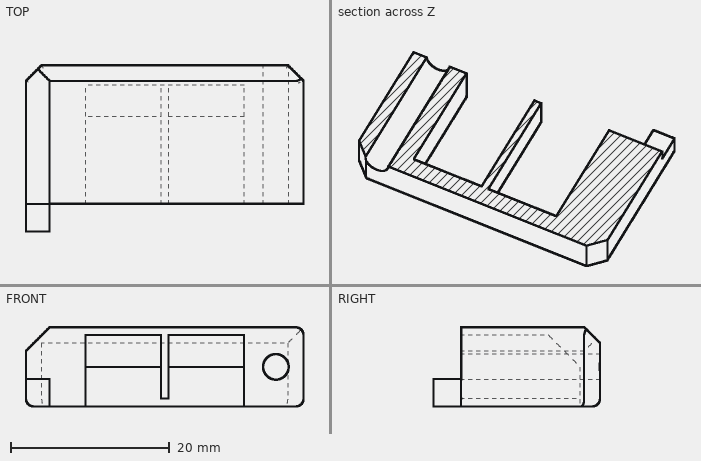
import cadquery as cq

LENGTH = 35.0
DEPTH = 17.5
HEIGHT = 10.0
SLOPE_LEG = 3.0
BACK_CHAMFER = 2.0
EDGE_RADIUS = 1.0

TAB_WIDTH = SLOPE_LEG
TAB_REACH = 3.5
TAB_HEIGHT = 3.5

POCKET_LEFT = 7.5
POCKET_WIDTH = 20.0
ROOF_THICKNESS = 1.0
BACK_WALL = 2.5
POCKET_TOP = HEIGHT - ROOF_THICKNESS
POCKET_BACK = DEPTH - BACK_WALL
POCKET_SLOPE_LEG = 4.0

RIB_THICKNESS = 1.0
RIB_BOTTOM = 1.0
RIB_LEFT = POCKET_LEFT + (POCKET_WIDTH - RIB_THICKNESS) / 2

HOLE_DIAMETER = 3.2
HOLE_FROM_RIGHT = 3.5
HOLE_X = LENGTH - HOLE_FROM_RIGHT
HOLE_Z = HEIGHT / 2


def block(x, y, z, width, depth, height):
    """Box with its lowest corner at (x, y, z)."""
    return cq.Workplane("XY").box(width, depth, height, centered=False).translate((x, y, z))


def make_front_prism():
    """Front outline, with its sloped and rounded top corners, run back in Y."""
    return (
        cq.Workplane("XZ")
        .lineTo(LENGTH, 0)
        .lineTo(LENGTH, HEIGHT - EDGE_RADIUS)
        .radiusArc((LENGTH - EDGE_RADIUS, HEIGHT), -EDGE_RADIUS)
        .lineTo(SLOPE_LEG, HEIGHT)
        .lineTo(0, HEIGHT - SLOPE_LEG)
        .close()
        .extrude(-DEPTH)
    )


def make_plan_prism():
    """Plan outline with both back corners chamfered."""
    return block(0, 0, 0, LENGTH, DEPTH, HEIGHT).edges("|Z and >Y").chamfer(BACK_CHAMFER)


def make_side_prism():
    """Side outline with the upper back corner chamfered."""
    return block(0, 0, 0, LENGTH, DEPTH, HEIGHT).edges(">Y and >Z").chamfer(BACK_CHAMFER)


def make_outer_shape():
    """Body and tab, with the lower edge rounded on the left, back and right."""
    body = make_front_prism().intersect(make_plan_prism()).intersect(make_side_prism())
    tab = block(0, -TAB_REACH, 0, TAB_WIDTH, TAB_REACH, TAB_HEIGHT)
    shape = body.union(tab)
    rounded_edges = shape.faces("<Z").edges().filter(lambda edge: edge.Center().y > EDGE_RADIUS)
    return rounded_edges.fillet(EDGE_RADIUS)


def make_pocket():
    """Pocket volume with a sloped upper back corner and the rib left out."""
    pocket = block(POCKET_LEFT, 0, 0, POCKET_WIDTH, POCKET_BACK, POCKET_TOP)
    pocket = pocket.edges(">Y and >Z").chamfer(POCKET_SLOPE_LEG)
    rib = block(RIB_LEFT, 0, RIB_BOTTOM, RIB_THICKNESS, POCKET_BACK, POCKET_TOP - RIB_BOTTOM)
    return pocket.cut(rib)


def make_screw_hole():
    """Cylinder through the full depth of the right end."""
    return cq.Workplane("XZ").center(HOLE_X, HOLE_Z).circle(HOLE_DIAMETER / 2).extrude(-DEPTH)


result = make_outer_shape().cut(make_pocket()).cut(make_screw_hole())